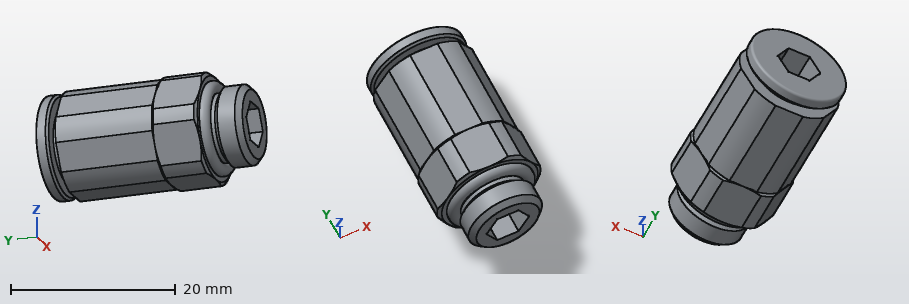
import cadquery as cq
import math

length = 26.0

thread_radius = 5.0
thread_end = 3.0
tip_chamfer = 0.73
undercut_radius = 4.3
undercut_start = 3.55
socket_flats = 5.0

ring_outer_radius = 5.88
ring_section_radius = 0.85
ring_front = 3.87

across_flats = 13.0
nut_start = 5.0
nut_end = 10.85
nut_corner_radius = 7.0
nut_chamfer_depth = 0.29
body_end = 23.32
body_corner_radius = 6.75

collar_neck_radius = 4.6
collar_radius = across_flats / 2
collar_start = 24.4
collar_edge = 0.3


def hexagon(flats, start, end):
    """Hexagonal prism along Y with flats facing +Z and -Z."""
    corner_diameter = flats / math.cos(math.radians(30))
    profile = cq.Workplane("XZ", origin=(0, start, 0)).polygon(6, corner_diameter)
    return profile.extrude(start - end)


def revolved(points):
    """Solid of revolution about Y from a half profile of (radius, y) points."""
    return cq.Workplane("XY").polyline(points).close().revolve(360, (0, 0), (0, 1))


def cylinder(radius, start, end):
    return revolved([(0, start), (radius, start), (radius, end), (0, end)])


def make_threaded_end():
    return revolved([
        (0, 0),
        (thread_radius - tip_chamfer, 0),
        (thread_radius, tip_chamfer),
        (thread_radius, thread_end),
        (undercut_radius, undercut_start),
        (undercut_radius, nut_start),
        (0, nut_start),
    ])


def make_sealing_ring():
    centre_radius = ring_outer_radius - ring_section_radius
    centre_y = ring_front + ring_section_radius
    section = cq.Workplane("XY").center(centre_radius, centre_y).circle(ring_section_radius)
    return section.revolve(360, (-centre_radius, 0), (-centre_radius, 1))


def make_nut():
    face_radius = across_flats / 2
    turned_blank = revolved([
        (0, nut_start),
        (face_radius, nut_start),
        (nut_corner_radius, nut_start + nut_chamfer_depth),
        (nut_corner_radius, nut_end - nut_chamfer_depth),
        (face_radius, nut_end),
        (0, nut_end),
    ])
    return turned_blank.intersect(hexagon(across_flats, nut_start, nut_end))


def make_body():
    turned_blank = cylinder(body_corner_radius, nut_end, body_end)
    return turned_blank.intersect(hexagon(across_flats, nut_end, body_end))


def make_collar():
    neck = cylinder(collar_neck_radius, body_end, collar_start)
    flange = cylinder(collar_radius, collar_start, length)
    flange = flange.faces("<Y").edges().chamfer(collar_edge)
    flange = flange.faces(">Y").edges().fillet(collar_edge)
    return neck.union(flange)


result = (
    make_threaded_end()
    .union(make_sealing_ring())
    .union(make_nut())
    .union(make_body())
    .union(make_collar())
    .cut(hexagon(socket_flats, 0, length))
)